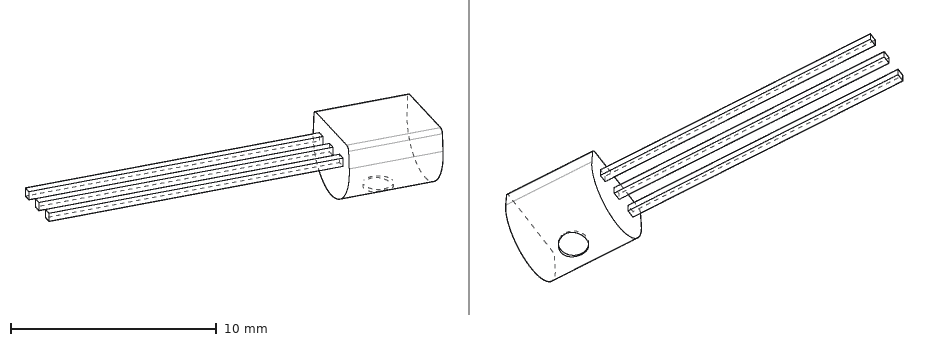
import cadquery as cq
import math

TOTAL_LENGTH = 20.45
HOUSING_LENGTH = 4.95
HOUSING_WIDTH = 4.56
HOUSING_HEIGHT = 3.62

BELLY_RADIUS = HOUSING_WIDTH / 2
SIDE_DRAFT = math.radians(5)
TOP_EDGE_RADIUS = 0.25
FLAT_HEIGHT = HOUSING_HEIGHT - BELLY_RADIUS

MARK_RADIUS = 0.74
MARK_DEPTH = 0.2

LEAD_COUNT = 3
LEAD_SIZE = 0.45
LEAD_PITCH = 1.27
LEAD_LENGTH = TOTAL_LENGTH - HOUSING_LENGTH
LEAD_HEIGHT = 0.2


def make_housing():
    """D-shaped housing along +Y, with the belly axis on the Y axis."""
    tangent_x = BELLY_RADIUS * math.cos(SIDE_DRAFT)
    tangent_z = BELLY_RADIUS * math.sin(SIDE_DRAFT)
    top_x = tangent_x - (FLAT_HEIGHT - tangent_z) * math.tan(SIDE_DRAFT)
    housing = (
        cq.Workplane("XZ")
        .moveTo(-top_x, FLAT_HEIGHT)
        .lineTo(top_x, FLAT_HEIGHT)
        .lineTo(tangent_x, tangent_z)
        .threePointArc((0, -BELLY_RADIUS), (-tangent_x, tangent_z))
        .close()
        .extrude(-HOUSING_LENGTH)
    )
    housing = housing.faces(">Z").edges("|Y").fillet(TOP_EDGE_RADIUS)
    mould_mark = (
        cq.Workplane("XY", origin=(0, HOUSING_LENGTH / 2, -BELLY_RADIUS))
        .circle(MARK_RADIUS)
        .extrude(MARK_DEPTH)
    )
    return housing.cut(mould_mark)


def make_lead(x):
    """Square lead reaching from the housing's end face towards -Y."""
    return (
        cq.Workplane("XZ", origin=(x, 0, LEAD_HEIGHT))
        .rect(LEAD_SIZE, LEAD_SIZE)
        .extrude(LEAD_LENGTH)
    )


housing = make_housing()

leads = []
for index in range(LEAD_COUNT):
    lead_x = (index - (LEAD_COUNT - 1) / 2) * LEAD_PITCH
    leads.append(make_lead(lead_x).val())

result = cq.Compound.makeCompound([housing.val(), *leads])